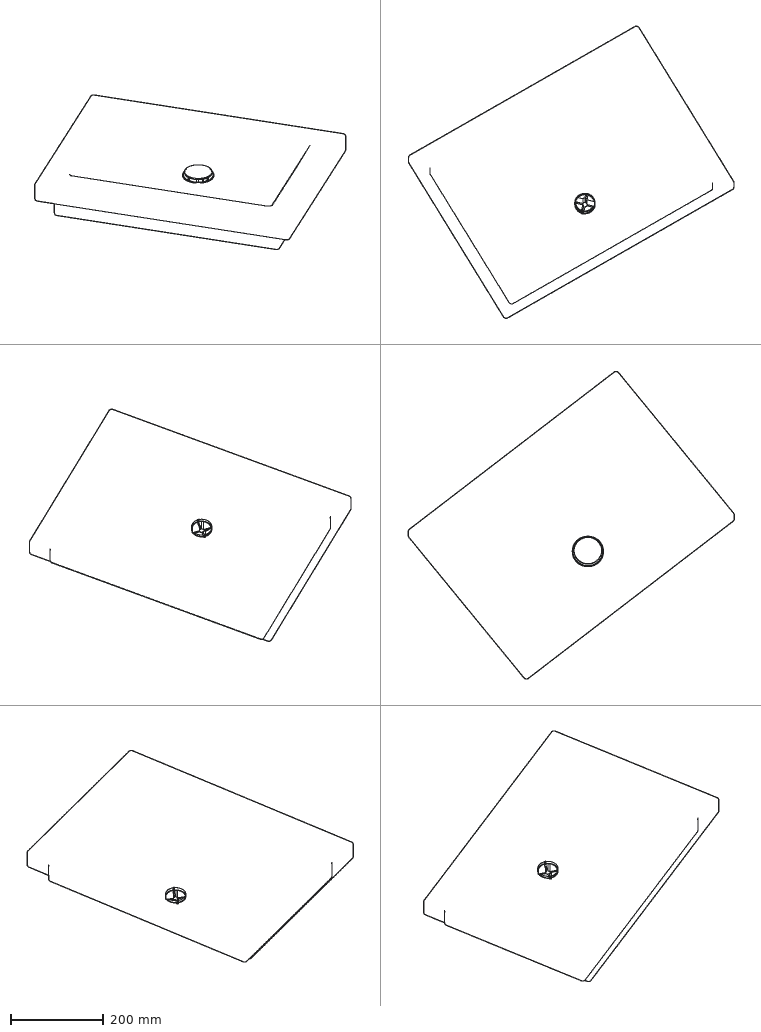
import math

import cadquery as cq

SLAB_HEIGHT = 46.0
BASIN_HEIGHT = 94.0
SLEEVE_BOTTOM = 100.5
TOTAL_HEIGHT = 106.0

SLAB_LENGTH = 580.0
SLAB_WIDTH = 415.0
TUB_LENGTH = 512.0
TUB_WIDTH = 348.5
OUTER_ROUND = 7.0
JOINT_ROUND = 3.5

MOUTH_LENGTH = 461.0
MOUTH_WIDTH = 297.0
BOWL_DEPTH = 73.0
WALL_RUN = 36.5
FLOOR_SLOPE = 0.025
RIM_ROUND = 7.0
BOWL_ROUND = 10.0
FLOOR_Z = -BOWL_DEPTH

DRAIN_Y = 58.0
FUNNEL_DIAMETER = 68.0
SLEEVE_DIAMETER = 44.0
BORE_DIAMETER = 42.0
FUNNEL_DEPTH = 8.0
FUNNEL_LIP = 2.0

CAP_DIAMETER = 60.0
CAP_GAP = 5.0
CAP_EDGE = 3.0
DOME_RISE = 4.0
STEM_DIAMETER = 10.0
FIN_THICKNESS = 3.0
FIN_CHAMFER = 3.0
FIN_ANGLES = (45, 135)

PICK_HEIGHT = 0.5
PICK_MARGIN = 6.0


def edges_at_level(length, width, level):
    """Selector for the edges around a centred rectangle at one height."""
    half_x = length / 2 + PICK_MARGIN
    half_y = width / 2 + PICK_MARGIN
    return cq.selectors.BoxSelector(
        (-half_x, -half_y, level - PICK_HEIGHT),
        (half_x, half_y, level + PICK_HEIGHT),
    )


def rounded_block(length, width, top_z, bottom_z):
    """Centred block with rounded upright and bottom edges."""
    block = cq.Workplane("XY").workplane(offset=bottom_z).rect(length, width).extrude(top_z - bottom_z)
    return block.edges("|Z or <Z").fillet(OUTER_ROUND)


def revolve_at_drain(outline):
    """Turn a (radius, Z) outline around the drain axis, starting on the -Y side."""
    turned = cq.Workplane("YZ").polyline([(-radius, z) for radius, z in outline]).close()
    return turned.revolve(360, (0, 0, 0), (0, 1, 0)).translate((0, DRAIN_Y, 0))


def make_floor_slope():
    """Ring under the bowl floor whose top is a shallow cone falling to the drain."""
    inner = FUNNEL_DIAMETER / 2
    outer = SLAB_LENGTH / 2
    return revolve_at_drain(
        [
            (inner, FLOOR_Z),
            (outer, FLOOR_Z + (outer - inner) * FLOOR_SLOPE),
            (outer, -BASIN_HEIGHT),
            (inner, -BASIN_HEIGHT),
        ]
    )


def make_bowl():
    """Space of the bowl, with rounded corners and a rounded edge around the floor."""
    wall_taper = math.degrees(math.atan(WALL_RUN / BOWL_DEPTH))
    bowl = cq.Workplane("XY").rect(MOUTH_LENGTH, MOUTH_WIDTH).extrude(-BOWL_DEPTH, taper=wall_taper)
    bowl = bowl.cut(make_floor_slope())
    walls = bowl.faces("%Plane").faces("not |Z")
    return walls.edges("not >Z").fillet(BOWL_ROUND)


def make_sleeve_blank():
    """Sleeve without its bore; it also forms the matching hole in the basin."""
    funnel_radius = FUNNEL_DIAMETER / 2
    sleeve_radius = SLEEVE_DIAMETER / 2
    return revolve_at_drain(
        [
            (0, FLOOR_Z),
            (funnel_radius, FLOOR_Z),
            (funnel_radius, FLOOR_Z - FUNNEL_LIP),
            (sleeve_radius, FLOOR_Z - FUNNEL_LIP - FUNNEL_DEPTH),
            (sleeve_radius, -SLEEVE_BOTTOM),
            (0, -SLEEVE_BOTTOM),
        ]
    )


def make_bore():
    """Funnel and bore space inside the sleeve."""
    bore_radius = BORE_DIAMETER / 2
    return revolve_at_drain(
        [
            (0, FLOOR_Z),
            (FUNNEL_DIAMETER / 2 - FUNNEL_LIP, FLOOR_Z),
            (bore_radius, FLOOR_Z - FUNNEL_DEPTH),
            (bore_radius, -SLEEVE_BOTTOM),
            (0, -SLEEVE_BOTTOM),
        ]
    )


def make_basin():
    """Slab and tub with the bowl sunk into them and a hole for the drain sleeve."""
    slab = rounded_block(SLAB_LENGTH, SLAB_WIDTH, 0, -SLAB_HEIGHT)
    slab = slab.faces(">Z").edges().fillet(OUTER_ROUND)
    tub = rounded_block(TUB_LENGTH, TUB_WIDTH, -SLAB_HEIGHT, -BASIN_HEIGHT)
    basin = slab.union(tub)
    basin = basin.edges(edges_at_level(TUB_LENGTH, TUB_WIDTH, -SLAB_HEIGHT)).fillet(JOINT_ROUND)
    basin = basin.cut(make_bowl())
    basin = basin.edges(edges_at_level(MOUTH_LENGTH, MOUTH_WIDTH, 0)).fillet(RIM_ROUND)
    return basin.cut(make_sleeve_blank())


def make_cap(bottom_z):
    """Disc with a low spherical dome on top, centred on the Z axis."""
    radius = CAP_DIAMETER / 2
    dome_radius = (radius**2 + DOME_RISE**2) / (2 * DOME_RISE)
    height = CAP_EDGE + DOME_RISE
    disc = cq.Workplane("XY").workplane(offset=bottom_z).circle(radius).extrude(height)
    ball = cq.Workplane("XY").sphere(dome_radius).translate((0, 0, bottom_z + height - dome_radius))
    return disc.intersect(ball)


def make_fin(height):
    """Flat bar across the stem, with its ends following the sleeve and its foot chamfered."""
    base = cq.Workplane("XY").workplane(offset=-TOTAL_HEIGHT)
    bar = base.rect(SLEEVE_DIAMETER, FIN_THICKNESS).extrude(height)
    bar = bar.faces("<Z").edges("|Y").chamfer(FIN_CHAMFER)
    return bar.intersect(base.circle(SLEEVE_DIAMETER / 2).extrude(height))


def make_plug():
    """Domed cap, stem and crossed fins reaching down through the sleeve."""
    cap_bottom = FLOOR_Z + CAP_GAP
    leg_height = cap_bottom + TOTAL_HEIGHT
    stem = cq.Workplane("XY").workplane(offset=-TOTAL_HEIGHT).circle(STEM_DIAMETER / 2).extrude(leg_height)
    plug = make_cap(cap_bottom).union(stem)
    for angle in FIN_ANGLES:
        plug = plug.union(make_fin(leg_height).rotate((0, 0, 0), (0, 0, 1), angle))
    return plug.translate((0, DRAIN_Y, 0))


def make_sleeve(plug):
    """Bored drain sleeve, slotted where the fins of the plug pass through its wall."""
    return make_sleeve_blank().cut(make_bore()).cut(plug)


basin = make_basin()
plug = make_plug()
sleeve = make_sleeve(plug)
bodies = [basin, sleeve, plug]
result = cq.Compound.makeCompound([body.solids().val() for body in bodies])